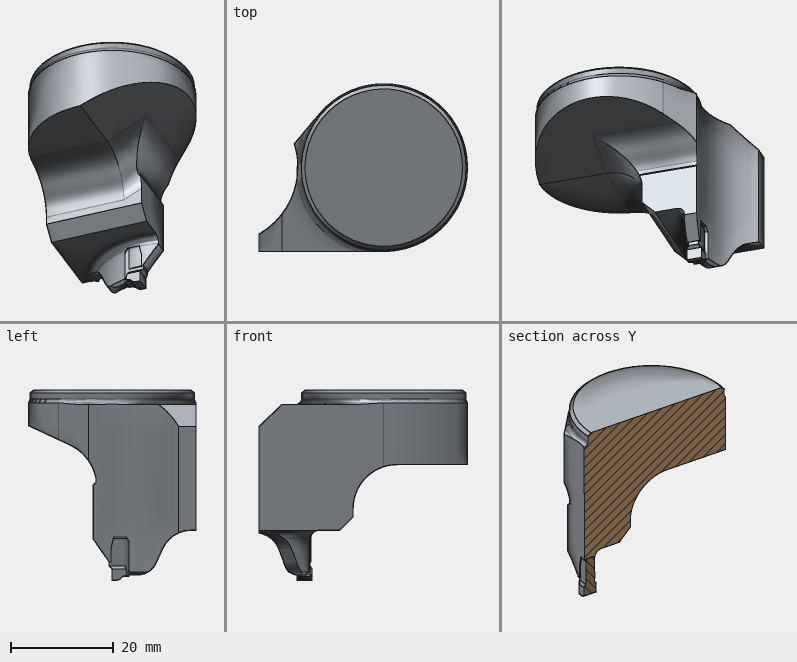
import cadquery as cq
import math


disc_radius = 16.0
disc_chamfer_width = 0.7
disc_chamfer_height = 0.6
disc_height = 1.8
root_radius = 1.0

body_radius = 16.3
body_top = -(disc_height + root_radius)
front_face = -body_radius
left_face = -24.26
side_angle = math.radians(40)
side_flat_length = 15.0
corner_chamfer_x = 4.5
corner_chamfer_z = 4.3

collar_bottom = -14.53
collar_slope = math.radians(25)
column_right = -5.93
column_back = 3.7
column_bottom = -27.3
column_chamfer = 2.65
undercut_radius = 8.5
groove_deepest_y = 3.2
groove_deepest_z = -17.1
groove_bottom = -18.0
groove_start_y = 8.2

flute_x = -31.7
flute_y = 0.1
flute_radius = 15.0
blade_x = -28.98
blade_radius = 14.84
blade_root_radius = 1.5
blade_chamfer = 0.6
blade_bottom = -35.97
blade_slope = math.radians(25)
blade_upper_radius = 6.0
blade_lower_radius = 4.0
blade_edge_y = -15.3
blade_straight_drop = 2.9
heel_slope = math.radians(35)
heel_top = -29.0

insert_x = -15.4
nose_width = 3.0
stem_width = 2.1
stem_front = -3.27
stem_rear = 0.2
stem_top = -28.55
stem_bottom = -36.25
stem_rear_taper = (0.45, 2.1)
stem_front_chamfer = (0.6, 0.9)
neck_top = -33.45
neck_bottom = -34.2
shoulder_bottom = -34.75
heel_rear = 0.64
nose_rear = 0.08
nose_front_top = -2.48
nose_front_bottom = -2.9
nose_front_z = -35.9
tip_front = -0.88
tip_bevel = (-1.46, -36.8)
relief_end = -2.04
insert_tip = -37.0
stem_top_chamfer = 0.3

reach = 60.0


def prism_along_x(outline, x_start, x_end):
    """Prism of a closed YZ outline between two X positions."""
    return outline.extrude(x_end - x_start).translate((x_start, 0, 0))


def polygon_along_x(points, x_start, x_end):
    return prism_along_x(cq.Workplane("YZ").polyline(points).close(), x_start, x_end)


def polygon_along_y(points):
    return cq.Workplane("XZ").polyline(points).close().extrude(reach, both=True)


def make_disc():
    foot_radius = disc_radius + root_radius
    root_middle = root_radius * math.sqrt(0.5)
    return (
        cq.Workplane("XZ")
        .lineTo(disc_radius - disc_chamfer_width, 0)
        .lineTo(disc_radius, -disc_chamfer_height)
        .lineTo(disc_radius, -disc_height)
        .threePointArc((foot_radius - root_middle, -disc_height - root_middle), (foot_radius, body_top))
        .lineTo(0, body_top)
        .close()
        .revolve(360, (0, 0, 0), (0, 1, 0))
    )


def make_flute():
    """Cylinder that hollows the left side, flared at the bottom to chamfer the blade."""
    return (
        cq.Workplane("XZ")
        .lineTo(flute_radius, 0)
        .lineTo(flute_radius, blade_bottom + blade_chamfer)
        .lineTo(flute_radius + blade_chamfer, blade_bottom)
        .lineTo(0, blade_bottom)
        .close()
        .revolve(360, (0, 0, 0), (0, 1, 0))
        .translate((flute_x, flute_y, 0))
    )


def make_outline_prism():
    """Full-height prism of the holder outline, with the flute cut into its left side."""
    tangent_x = -body_radius * math.cos(side_angle)
    tangent_y = body_radius * math.sin(side_angle)
    flat_end_x = tangent_x - side_flat_length * math.sin(side_angle)
    flat_end_y = tangent_y - side_flat_length * math.cos(side_angle)
    arc_middle = (math.pi / 2 - side_angle) / 2
    prism = (
        cq.Workplane("XY")
        .moveTo(left_face, front_face)
        .lineTo(0, front_face)
        .threePointArc((body_radius * math.cos(arc_middle), body_radius * math.sin(arc_middle)),
                       (tangent_x, tangent_y))
        .lineTo(flat_end_x, flat_end_y)
        .lineTo(left_face, flat_end_y)
        .close()
        .extrude(blade_bottom)
    )
    return prism.cut(make_flute())


def make_top_cut():
    """Removes what lies above the flat top and outside the corner chamfer."""
    chamfer_bottom = body_top - corner_chamfer_z
    return polygon_along_y([
        (left_face, chamfer_bottom), (left_face + corner_chamfer_x, body_top),
        (reach, body_top), (reach, reach), (left_face, reach),
    ])


def make_collar_cut(run, rise):
    """Space below the collar and right of the column, swept from the XZ plane by (run, rise)."""
    bend = undercut_radius * (1 - math.sqrt(0.5))
    outline = (
        cq.Workplane("XZ")
        .moveTo(reach, collar_bottom)
        .lineTo(column_right + undercut_radius, collar_bottom)
        .threePointArc((column_right + bend, collar_bottom - bend),
                       (column_right, collar_bottom - undercut_radius))
        .lineTo(column_right, -reach)
        .lineTo(reach, -reach)
        .close()
    )
    return cq.Workplane(cq.Solid.extrudeLinear(outline.val(), [], cq.Vector(0, run, rise)))


def make_column_chamfer():
    return polygon_along_y([
        (column_right, column_bottom + column_chamfer),
        (column_right - column_chamfer, column_bottom),
        (column_right, column_bottom),
    ])


def make_rear_cut():
    """Space behind the column: sloped collar underside, round groove, wall and blade heel."""
    groove_start_z = collar_bottom + groove_start_y * math.tan(collar_slope)
    heel_y = column_back - (heel_top - blade_bottom) * math.tan(heel_slope)
    return prism_along_x(
        cq.Workplane("YZ")
        .moveTo(reach, collar_bottom + reach * math.tan(collar_slope))
        .lineTo(groove_start_y, groove_start_z)
        .tangentArcPoint((groove_deepest_y, groove_deepest_z), relative=False)
        .lineTo(groove_deepest_y, groove_bottom)
        .lineTo(column_back, groove_bottom - (column_back - groove_deepest_y))
        .lineTo(column_back, heel_top)
        .lineTo(heel_y, blade_bottom)
        .lineTo(reach, blade_bottom)
        .close(),
        -reach, reach)


def make_blade_surround():
    """Space under the column around the blade, with a concave round at the blade root."""
    root_middle = blade_root_radius * (1 - math.sqrt(0.5))
    return (
        cq.Workplane("XZ")
        .moveTo(blade_radius - blade_chamfer, blade_bottom)
        .lineTo(blade_radius, blade_bottom + blade_chamfer)
        .lineTo(blade_radius, column_bottom - blade_root_radius)
        .threePointArc((blade_radius + root_middle, column_bottom - root_middle),
                       (blade_radius + blade_root_radius, column_bottom))
        .lineTo(reach, column_bottom)
        .lineTo(reach, blade_bottom)
        .close()
        .revolve(360, (0, 0, 0), (0, 1, 0))
        .translate((blade_x, flute_y, 0))
    )


def make_blade_edge_cut():
    """Space in front of the blade, bounded by an arc, a slanted line and an arc."""
    turn = math.pi / 2 - blade_slope
    upper_y = blade_edge_y + blade_upper_radius * math.sin(turn)
    upper_z = column_bottom - blade_upper_radius * (1 - math.cos(turn))
    lower_y = upper_y + blade_straight_drop * math.tan(blade_slope)
    lower_z = upper_z - blade_straight_drop
    end_y = lower_y + blade_lower_radius * math.sin(turn)
    return prism_along_x(
        cq.Workplane("YZ")
        .moveTo(-reach, column_bottom)
        .lineTo(blade_edge_y, column_bottom)
        .tangentArcPoint((upper_y, upper_z), relative=False)
        .lineTo(lower_y, lower_z)
        .tangentArcPoint((end_y, blade_bottom), relative=False)
        .lineTo(-reach, blade_bottom)
        .close(),
        -reach, reach)


def make_stem(left, right):
    """Flat shank of the insert; the corner taken by the neck and nose is left out."""
    taper_width, taper_height = stem_rear_taper
    chamfer_width, chamfer_height = stem_front_chamfer
    return polygon_along_x([
        (stem_front, stem_bottom),
        (stem_front, stem_top - chamfer_height),
        (stem_front + chamfer_width, stem_top),
        (stem_rear - taper_width, stem_top),
        (stem_rear, stem_top - taper_height),
        (stem_rear, neck_top),
        (nose_front_top, neck_top),
        (nose_front_top, neck_bottom),
        (nose_front_bottom, nose_front_z),
        (relief_end, stem_bottom),
    ], left, right)


def make_nose():
    """Neck and cutting nose: a side outline crossed with a front outline."""
    side = polygon_along_x([
        (nose_front_top, neck_top),
        (heel_rear, neck_top),
        (heel_rear, neck_bottom),
        (nose_rear, shoulder_bottom),
        (nose_rear, insert_tip),
        (tip_front, insert_tip),
        tip_bevel,
        (relief_end, stem_bottom),
        (nose_front_bottom, nose_front_z),
        (nose_front_top, neck_bottom),
    ], insert_x - nose_width, insert_x + nose_width)
    half_profile = [
        (stem_width / 2, neck_top),
        (stem_width / 2, neck_bottom),
        (nose_width / 2, shoulder_bottom),
        (nose_width / 2, insert_tip),
    ]
    right_side = [(insert_x + offset, z) for offset, z in half_profile]
    left_side = [(insert_x - offset, z) for offset, z in reversed(half_profile)]
    return side.intersect(polygon_along_y(right_side + left_side))


def make_insert():
    stem = make_stem(insert_x - stem_width / 2, insert_x + stem_width / 2)
    stem = stem.faces(">Z").edges("<X").chamfer(stem_top_chamfer)
    return stem.union(make_nose()).clean()


def make_seat():
    """Slot for the stem, open to the flute."""
    return make_stem(-reach, insert_x + stem_width / 2)


def make_nose_clearance():
    """Cut through the blade tip that frees the neck and nose on both sides."""
    return polygon_along_x([
        (nose_front_top, neck_top),
        (heel_rear, neck_top),
        (heel_rear, blade_bottom),
        (nose_front_bottom, blade_bottom),
        (nose_front_bottom, nose_front_z),
        (nose_front_top, neck_bottom),
    ], -reach, reach)


def make_holder():
    prism = make_outline_prism()
    holder = prism.cut(make_top_cut())
    holder = holder.cut(make_collar_cut(-reach, 0))
    holder = holder.cut(make_collar_cut(reach, reach * math.tan(collar_slope)))
    holder = holder.cut(make_column_chamfer())
    holder = holder.cut(make_rear_cut())
    holder = holder.cut(make_blade_surround())
    holder = holder.cut(make_blade_edge_cut())
    disc_limit = prism.union(cq.Workplane("XY").circle(disc_radius).extrude(body_top))
    holder = holder.union(make_disc().intersect(disc_limit))
    return holder.cut(make_seat()).cut(make_nose_clearance())


insert = make_insert()
holder = make_holder()
result = cq.Compound.makeCompound([holder.val(), insert.val()])